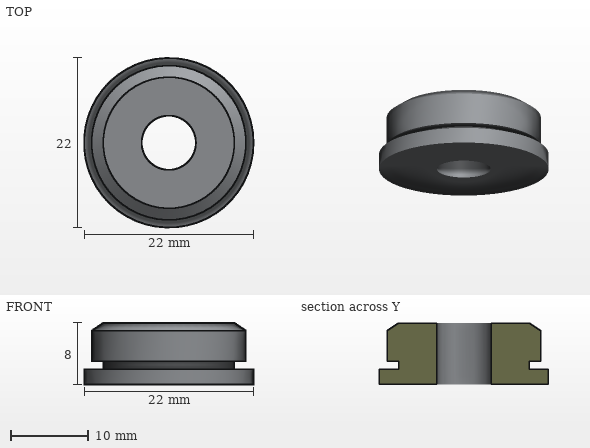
import cadquery as cq

flange_diameter = 22.0
flange_height = 2.0
groove_diameter = 17.0
groove_height = 1.0
head_diameter = 20.0
head_height = 5.0
top_diameter = 17.0
bevel_height = 1.0
bore_diameter = 7.0

groove_top = flange_height + groove_height
total_height = groove_top + head_height
bevel_base = total_height - bevel_height


def grommet_profile():
    """Closed half-section in the XZ plane, from the bore wall outwards."""
    bore_radius = bore_diameter / 2
    flange_radius = flange_diameter / 2
    groove_radius = groove_diameter / 2
    head_radius = head_diameter / 2
    top_radius = top_diameter / 2
    return (
        cq.Workplane("XZ")
        .moveTo(bore_radius, 0)
        .lineTo(flange_radius, 0)
        .lineTo(flange_radius, flange_height)
        .lineTo(groove_radius, flange_height)
        .lineTo(groove_radius, groove_top)
        .lineTo(head_radius, groove_top)
        .lineTo(head_radius, bevel_base)
        .lineTo(top_radius, total_height)
        .lineTo(bore_radius, total_height)
        .close()
    )


result = grommet_profile().revolve(360, (0, 0, 0), (0, 1, 0))